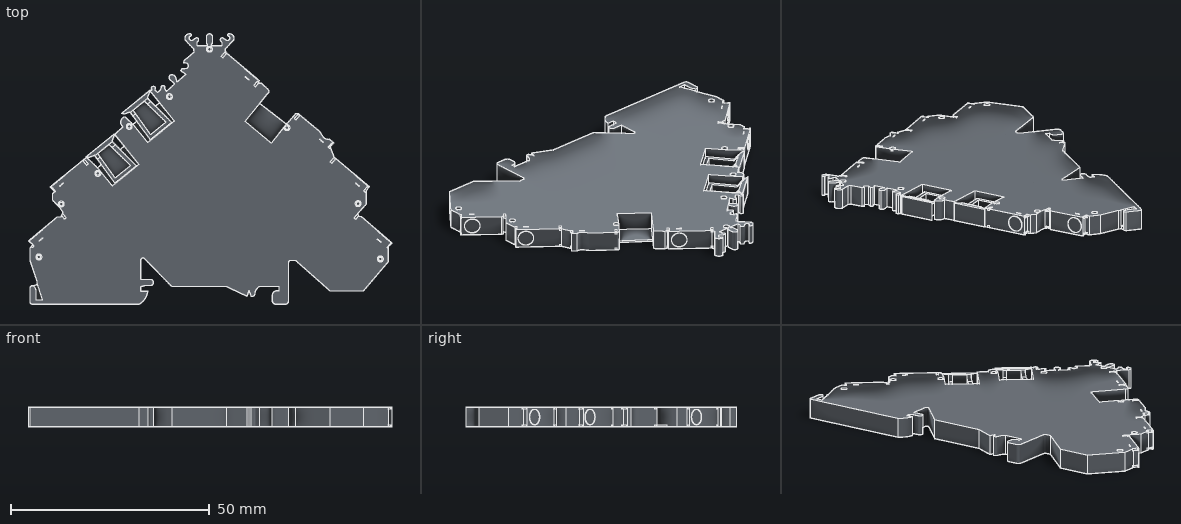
import cadquery as cq
import math

WIDTH = 91.4
HEIGHT = 68.0
THICKNESS = 5.0

FACE_ANGLE = 40.0
FACE_COS = math.cos(math.radians(FACE_ANGLE))
FACE_SIN = math.sin(math.radians(FACE_ANGLE))
LEFT = -1
RIGHT = 1

CROWN_X = 45.5
CROWN_BASE_Y = 65.0
CROWN_ROOT_Y = 63.0
APEX_Y = 64.1
BULB_RADIUS = 0.8
BULB_HALF_LENGTH = 0.65
STEM_WIDTH = 1.0

PIT_TOP_DIAMETER = 1.5
PIT_BOTTOM_DIAMETER = 0.9
PIT_DEPTH = 0.6
PIT_CENTRES = [
    (2.65, 11.9),
    (8.25, 25.2),
    (17.45, 32.9),
    (25.35, 44.7),
    (35.45, 52.2),
    (CROWN_X, APEX_Y),
    (64.95, 44.4),
    (82.85, 25.3),
    (88.45, 11.4),
]

SLIT_WIDTH = 0.55
SLIT_LENGTH = 1.4
SLIT_DEPTH = 0.5
SLITS = [
    (0.3, 15.5, LEFT),
    (8.4, 22.65, LEFT),
    (5.7, 29.3, LEFT),
    (13.95, 36.2, LEFT),
    (49.55, 63.2, RIGHT),
    (57.75, 55.9, RIGHT),
    (67.95, 47.6, RIGHT),
    (76.45, 40.4, RIGHT),
    (76.95, 36.7, RIGHT),
    (85.35, 29.4, RIGHT),
    (82.95, 22.6, RIGHT),
    (91.25, 15.2, RIGHT),
]

FACE_RECESS_DIAMETER = 3.9
FACE_RECESS_DEPTH = 0.15
FACE_RECESSES = [
    (1.9, 17.5, LEFT),
    (7.65, 31.3, LEFT),
    (55.95, 57.98, RIGHT),
    (83.7, 31.24, RIGHT),
    (89.2, 17.3, RIGHT),
]

GROOVE_LENGTH = 1.2
GROOVE_WIDTH = 0.1
GROOVE_DEPTH = 0.1
GROOVE_CENTRES = [
    (3.15, 16.3, LEFT),
    (8.35, 30.1, LEFT),
    (54.95, 56.8, RIGHT),
    (73.65, 41.1, RIGHT),
    (82.65, 30.1, RIGHT),
    (88.15, 16.0, RIGHT),
]

POCKET_ANGLE = 39.0
POCKET_CORNERS = [(14.5, 37.1), (23.4, 48.0)]
POCKET_WIDTH = 9.1
POCKET_LENGTH = 9.85
POCKET_END_INSET = 0.5
POCKET_FLOOR_Z = 1.0
POCKET_THROUGH_LENGTH = 3.95
BAR_TOP_Z = 4.7
BAR = [(0.0, 0.0), (0.4, -0.6), (1.85, -1.1), (7.5, -1.1), (POCKET_WIDTH, -0.2), (POCKET_WIDTH, 0.0)]
TRAY = [(1.85, -1.1), (1.45, -9.7), (8.35, -9.7), (7.5, -1.1)]
TRAY_HOLLOW = [(2.75, -1.25), (2.3, -8.75), (7.3, -8.75), (6.4, -1.25)]
TRAY_RIM_Z = 3.2
TRAY_FLOOR_Z = 1.4
TRAY_RAMP_START = 1.2
TRAY_RAMP_END = 2.3

RECESS_CORNERS = [(58.15, 50.5), (54.45, 46.0), (61.05, 40.5), (64.85, 45.3)]
RECESS_FLOOR_Z = 0.5

FOOT_SLOT_FLOOR_Z = 0.8

OUTLINE = [
    (1.05, 0.0),
    (27.85, 0.0),
    ((29.25, 1.3), (30.05, 3.3)),
    (28.25, 3.3),
    (28.25, 4.4),
    (29.25, 4.7),
    (30.75, 4.7),
    ((31.45, 5.5), (30.75, 6.3)),
    (28.25, 6.3),
    (28.25, 11.1),
    ((28.55, 11.6), (29.15, 11.5)),
    (36.05, 4.45),
    (49.75, 4.45),
    (54.95, 2.0),
    (55.45, 3.4),
    (55.95, 2.0),
    ((56.65, 2.1), (56.95, 2.7)),
    ((57.35, 3.8), (58.05, 4.45)),
    (62.95, 4.45),
    (62.95, 3.4),
    ((61.65, 3.1), (61.25, 2.2)),
    (61.25, 0.9),
    ((61.55, 0.3), (62.15, 0.0)),
    (64.55, 0.0),
    ((65.15, 0.25), (65.4, 0.8)),
    (65.4, 10.4),
    ((65.55, 10.85), (66.05, 11.0)),
    (67.15, 11.0),
    (75.85, 3.3),
    (84.15, 3.3),
    (90.45, 10.7),
    (90.45, 14.5),
    (WIDTH, 15.4),
    (83.65, 22.1),
    (83.05, 22.1),
    (82.75, 22.8),
    (84.95, 25.2),
    (84.95, 28.5),
    (85.65, 29.6),
    (76.85, 37.0),
    (75.85, 39.6),
    (76.75, 40.6),
    (75.65, 41.5),
    ((74.75, 41.6), (74.15, 42.0)),
    (73.15, 43.5),
    (67.85, 47.9),
    ((67.45, 48.0), (67.05, 47.8)),
    (64.85, 45.3),
    (58.15, 50.5),
    (60.15, 53.0),
    ((60.45, 53.4), (60.35, 53.9)),
    (58.55, 55.6),
    (57.75, 55.6),
    (58.05, 56.2),
    (49.65, 63.3),
    (49.45, APEX_Y),
    (41.55, APEX_Y),
    (41.65, 63.4),
    (39.15, 61.3),
    (38.95, 60.7),
    (39.75, 60.6),
    ((40.15, 60.0), (39.75, 59.3)),
    (38.55, 59.2),
    (38.25, 58.7),
    (39.55, 57.8),
    (37.35, 55.9),
    (37.05, 57.0),
    ((36.25, 57.7), (35.45, 57.5)),
    ((35.35, 56.9), (35.75, 56.3)),
    (36.75, 55.4),
    (34.65, 53.5),
    (34.25, 54.3),
    ((33.85, 55.0), (33.35, 54.6)),
    ((33.05, 53.8), (32.45, 53.3)),
    (31.85, 53.8),
    (31.95, 54.5),
    ((31.35, 54.8), (30.85, 54.4)),
    (31.05, 53.8),
    (30.55, 53.8),
    (23.4, 48.0),
    (25.65, 46.2),
    ((24.95, 46.9), (24.05, 47.1)),
    ((23.25, 46.2), (23.75, 44.6)),
    (21.75, 42.8),
    (5.45, 29.5),
    (6.55, 28.4),
    (6.05, 27.8),
    (6.05, 26.2),
    (7.95, 24.2),
    (8.65, 23.1),
    (8.15, 22.0),
    (7.25, 22.0),
    (0.0, 15.9),
    (1.15, 15.0),
    (0.35, 14.1),
    (0.35, 11.1),
    (2.15, 5.8),
    (2.15, 5.0),
    (1.35, 4.7),
    (0.75, 4.7),
    (0.35, 4.3),
    (0.35, 0.7),
    ((0.55, 0.2), (1.05, 0.0)),
]

HORN = [
    (0.0, CROWN_ROOT_Y),
    (-3.85, CROWN_ROOT_Y),
    (-4.0, 64.2),
    (-6.1, 66.4),
    ((-5.95, 67.55), (-5.0, HEIGHT)),
    (-4.9, HEIGHT),
    ((-4.55, 67.7), (-4.9, 67.35)),
    ((-5.0, 66.6), (-4.2, 66.4)),
    (-3.5, 66.9),
    ((-2.8, 66.8), (-2.8, 66.2)),
    (-3.1, 65.8),
    (-3.1, CROWN_BASE_Y),
    (0.0, CROWN_BASE_Y),
]

FOOT_SLOT = [
    (2.25, 5.1),
    (3.55, 1.1),
    (1.95, 1.1),
    (1.95, 3.4),
    ((1.75, 4.0), (1.25, 4.7)),
]


def prism(points, bottom, top):
    """Upright prism from a closed chain of straight edges and arcs."""
    sketch = cq.Workplane("XY").workplane(offset=bottom).moveTo(*points[0])
    for item in points[1:]:
        if isinstance(item[0], tuple):
            sketch = sketch.threePointArc(*item)
        else:
            sketch = sketch.lineTo(*item)
    return sketch.close().extrude(top - bottom)


def crown():
    """Two mirrored horns with a bulb-headed pin between them."""
    horn = prism(HORN, 0, THICKNESS)
    horns = horn.union(horn.mirror("YZ")).translate((CROWN_X, 0, 0))
    bulb_y = HEIGHT - BULB_RADIUS - BULB_HALF_LENGTH
    bulb = (
        cq.Workplane("XY")
        .center(CROWN_X, bulb_y)
        .slot2D(2 * (BULB_RADIUS + BULB_HALF_LENGTH), 2 * BULB_RADIUS, 90)
        .extrude(THICKNESS)
    )
    stem_height = bulb_y - CROWN_BASE_Y
    stem = (
        cq.Workplane("XY")
        .center(CROWN_X, CROWN_BASE_Y + stem_height / 2)
        .rect(STEM_WIDTH, stem_height)
        .extrude(THICKNESS)
    )
    return horns.union(stem).union(bulb)


def pits():
    """Tapered pits sunk into the top face."""
    taper = math.degrees(math.atan2((PIT_TOP_DIAMETER - PIT_BOTTOM_DIAMETER) / 2, PIT_DEPTH))
    return (
        cq.Workplane("XY")
        .workplane(offset=THICKNESS)
        .pushPoints(PIT_CENTRES)
        .circle(PIT_TOP_DIAMETER / 2)
        .extrude(-PIT_DEPTH, taper=taper)
    )


def slit_pair(x, y, side):
    """Shallow slits in both faces, running inwards from (x, y) square to the wire-entry face."""
    block = cq.Workplane("XY").box(SLIT_WIDTH, SLIT_LENGTH, SLIT_DEPTH, centered=(True, False, False))
    bottom = block.translate((0, -SLIT_LENGTH, 0))
    top = bottom.translate((0, 0, THICKNESS - SLIT_DEPTH))
    pair = bottom.union(top)
    return pair.rotate((0, 0, 0), (0, 0, 1), -side * FACE_ANGLE).translate((x, y, 0))


def face_recess(x, y, side):
    """Cylinder sunk into a wire-entry face, standing equally proud to clear the surface."""
    outward = cq.Vector(side * FACE_SIN, FACE_COS, 0)
    floor_centre = cq.Vector(x, y, THICKNESS / 2) - outward * FACE_RECESS_DEPTH
    radius = FACE_RECESS_DIAMETER / 2
    return cq.Workplane(cq.Solid.makeCylinder(radius, 2 * FACE_RECESS_DEPTH, floor_centre, outward))


def groove(x, y, side):
    """Hairline groove in the top face."""
    return (
        cq.Workplane("XY")
        .box(GROOVE_LENGTH, GROOVE_WIDTH, GROOVE_DEPTH, centered=(True, True, False))
        .rotate((0, 0, 0), (0, 0, 1), -side * FACE_ANGLE)
        .translate((x, y, THICKNESS - GROOVE_DEPTH))
    )


def placed_pocket(shape, corner):
    """Move a shape from the pocket's local axes to its place."""
    return shape.rotate((0, 0, 0), (0, 0, 1), POCKET_ANGLE).translate((*corner, 0))


def pocket_void():
    """Pocket with its floor opened through next to the mouth."""
    plan = [
        (0, 0),
        (POCKET_END_INSET, -POCKET_THROUGH_LENGTH),
        (POCKET_END_INSET, -POCKET_LENGTH),
        (POCKET_WIDTH, -POCKET_LENGTH),
        (POCKET_WIDTH, 0),
    ]
    opening = [
        (0, 0),
        (POCKET_END_INSET, -POCKET_THROUGH_LENGTH),
        (POCKET_WIDTH, -POCKET_THROUGH_LENGTH),
        (POCKET_WIDTH, 0),
    ]
    return prism(plan, POCKET_FLOOR_Z, THICKNESS).union(prism(opening, 0, THICKNESS))


def pocket_insert():
    """Bar closing the mouth, and the tray whose rim ramps down from the bar."""
    side_profile = (
        cq.Workplane("YZ")
        .polyline(
            [
                (0, 0),
                (0, BAR_TOP_Z),
                (-TRAY_RAMP_START, BAR_TOP_Z),
                (-TRAY_RAMP_END, TRAY_RIM_Z),
                (-POCKET_LENGTH, TRAY_RIM_Z),
                (-POCKET_LENGTH, 0),
            ]
        )
        .close()
        .extrude(POCKET_WIDTH)
    )
    tray = prism(TRAY, 0, BAR_TOP_Z).intersect(side_profile)
    tray = tray.cut(prism(TRAY_HOLLOW, TRAY_FLOOR_Z, THICKNESS))
    return prism(BAR, 0, BAR_TOP_Z).union(tray)


result = prism(OUTLINE, 0, THICKNESS).union(crown())
result = result.cut(pits())
result = result.cut(prism(RECESS_CORNERS, RECESS_FLOOR_Z, THICKNESS))
result = result.cut(prism(FOOT_SLOT, FOOT_SLOT_FLOOR_Z, THICKNESS))
for slit_place in SLITS:
    result = result.cut(slit_pair(*slit_place))
for recess_place in FACE_RECESSES:
    result = result.cut(face_recess(*recess_place))
for groove_place in GROOVE_CENTRES:
    result = result.cut(groove(*groove_place))
for pocket_corner in POCKET_CORNERS:
    result = result.cut(placed_pocket(pocket_void(), pocket_corner))
    result = result.union(placed_pocket(pocket_insert(), pocket_corner))